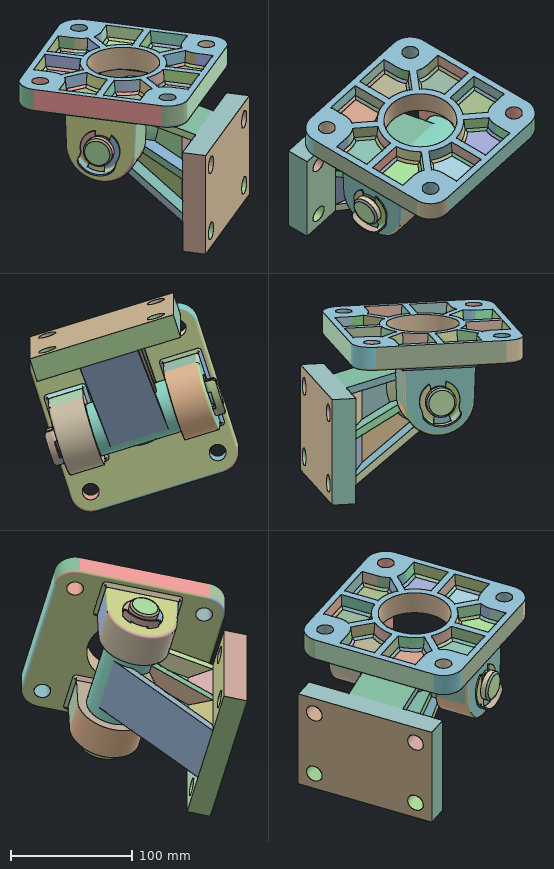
import cadquery as cq
import math


plate_side = 145.0
plate_top = 50.0
plate_thickness = 20.0
plate_bottom = plate_top - plate_thickness
corner_radius = 17.5
bolt_offset = plate_side / 2 - corner_radius
bolt_dia = 13.6
center_hole_dia = 60.1
plate_edge_round = 2.0

pocket_depth = 12.0
pocket_floor_bevel = 2.0
pocket_draft = 6.0
plate_rim = 5.8
plate_rib = 6.2
hub_radius = 35.8
boss_radius = 20.0
boss_shift = 2.6

lug_inner = 35.0
lug_outer = 65.0
lug_radius = 30.0
lug_root_half = 31.0
lug_edge_round = 2.0
flank_end = -4.4
collar_height = 3.1
collar_angle = 45.0

barrel_radius = 22.5
flange_front = 70.0
flange_thickness = 20.0
flange_width = 124.2
flange_top = 4.9
flange_height = 89.9
flange_bottom = flange_top - flange_height
flange_middle = flange_top - flange_height / 2
flange_bolt_dia = 14.5
flange_bolt_span_y = 94.0
flange_bolt_span_z = 60.0
arm_half = 25.0
arm_rib = 6.2
web_half = 8.1
web_cone_radius = 32.5
web_cone_height = web_cone_radius - barrel_radius
flare_length = 16.7

pin_radius = 12.5
pin_half_length = 73.8
pin_bevel = 1.6
groove_radius = 9.8
groove_outer = 67.5

clip_gauge = 1.22
clip_radius = 17.0
tab_radius = 20.2
tab_end = 74.3
tab_half = 15.6
tab_corner_bevel = 2.0
bend_radius = 3.0
clip_mouth_half = 6.3
clip_mouth_angle = 15.0
window_half = 6.2
window_angle = 12.0
front_clip_turn = 10.5
back_clip_turn = 6.5


def prism_y(points, y_start, y_end):
    """Polygon of (x, z) points, extruded along Y."""
    return cq.Workplane("XZ", origin=(0, y_start, 0)).polyline(points).close().extrude(y_start - y_end)


def cylinder_y(radius, y_start, y_end):
    return cq.Workplane("XZ", origin=(0, y_start, 0)).circle(radius).extrude(y_start - y_end)


def pocket_cutter():
    """Pocket on the +X, +Y side of the plate, next to the X axis."""
    outer = plate_side / 2 - plate_rim
    near = plate_rib / 2
    boss_x = bolt_offset - boss_shift
    boss_y = bolt_offset
    far = boss_y - boss_radius
    diagonal = plate_rib / math.sqrt(2)

    def on_boss(angle):
        return (boss_x + boss_radius * math.cos(angle), boss_y + boss_radius * math.sin(angle))

    flank_distance = (boss_y + diagonal - boss_x) / math.sqrt(2)
    boss_end_angle = -math.pi / 4 - math.acos(flank_distance / boss_radius)
    boss_end = on_boss(boss_end_angle)
    boss_mid = on_boss((boss_end_angle - math.pi / 2) / 2)
    hub_flank_angle = math.pi / 4 - math.asin(plate_rib / 2 / hub_radius)
    hub_near_angle = math.asin(near / hub_radius)
    hub_mid_angle = (hub_flank_angle + hub_near_angle) / 2

    def on_hub(angle):
        return (hub_radius * math.cos(angle), hub_radius * math.sin(angle))

    return (
        cq.Workplane("XY", origin=(0, 0, plate_top))
        .moveTo(outer, near)
        .lineTo(outer, far)
        .lineTo(boss_x, far)
        .threePointArc(boss_mid, boss_end)
        .lineTo(*on_hub(hub_flank_angle))
        .threePointArc(on_hub(hub_mid_angle), on_hub(hub_near_angle))
        .close()
        .extrude(-pocket_depth, taper=pocket_draft)
        .faces("<Z")
        .chamfer(pocket_floor_bevel)
    )


def lug():
    """Lug on the +Y side, with its collar under the plate."""
    flank_x = math.sqrt(lug_radius**2 - flank_end**2)
    body = (
        cq.Workplane("XZ", origin=(0, lug_inner, 0))
        .moveTo(lug_root_half, plate_bottom)
        .lineTo(flank_x, flank_end)
        .threePointArc((0, -lug_radius), (-flank_x, flank_end))
        .lineTo(-lug_root_half, plate_bottom)
        .close()
        .extrude(lug_inner - lug_outer)
        .faces(">Y")
        .edges("not(>Z)")
        .fillet(lug_edge_round)
    )
    collar = (
        cq.Workplane("XY", origin=(0, (lug_inner + lug_outer) / 2, plate_bottom - collar_height))
        .rect(2 * lug_root_half, lug_outer - lug_inner)
        .extrude(collar_height, taper=-collar_angle)
    )
    return body.union(collar)


def make_platform():
    plate = (
        cq.Workplane("XY", origin=(0, 0, plate_bottom))
        .rect(plate_side, plate_side)
        .extrude(plate_thickness)
        .edges("|Z")
        .fillet(corner_radius)
        .faces("<Z")
        .edges()
        .fillet(plate_edge_round)
    )
    plate = plate.union(lug()).union(lug().mirror("XZ"))
    plate = plate.cut(
        cq.Workplane("XY", origin=(0, 0, plate_bottom))
        .circle(center_hole_dia / 2)
        .extrude(plate_thickness)
    )
    plate = plate.cut(
        cq.Workplane("XY", origin=(0, 0, plate_bottom))
        .rect(2 * bolt_offset, 2 * bolt_offset, forConstruction=True)
        .vertices()
        .circle(bolt_dia / 2)
        .extrude(plate_thickness)
    )
    pocket = pocket_cutter()
    for cutter in (pocket, pocket.mirror("XZ")):
        for quarter in range(4):
            plate = plate.cut(cutter.rotate((0, 0, 0), (0, 0, 1), 90 * quarter))
    return plate.cut(cylinder_y(pin_radius, -lug_outer, lug_outer))


def tangent_angle(z, side):
    """Direction of the barrel radius that touches the arm edge ending at the flange at height z."""
    distance = math.hypot(flange_front, z)
    return math.atan2(z, flange_front) + side * math.acos(barrel_radius / distance)


def arm_gaps(touch_top, touch_bottom):
    """Two gaps between the arm's three ribs, as (x, z) outlines."""
    middle_slope = flange_middle / flange_front
    middle_rise = arm_rib / 2 * math.hypot(1, middle_slope)
    gaps = []
    for angle, side in ((touch_top, 1), (touch_bottom, -1)):
        inner = barrel_radius - arm_rib

        def rib_edge(x):
            return (x, (inner - x * math.cos(angle)) / math.sin(angle))

        def middle_edge(x):
            return (x, middle_slope * x + side * middle_rise)

        gaps.append([rib_edge(0), rib_edge(flange_front), middle_edge(flange_front), middle_edge(0)])
    return gaps


def make_bracket():
    touch_top = tangent_angle(flange_top, 1)
    touch_bottom = tangent_angle(flange_bottom, -1)
    outline = [
        (0, 0),
        (barrel_radius * math.cos(touch_top), barrel_radius * math.sin(touch_top)),
        (flange_front, flange_top),
        (flange_front, flange_bottom),
        (barrel_radius * math.cos(touch_bottom), barrel_radius * math.sin(touch_bottom)),
    ]
    arm = prism_y(outline, -arm_half, arm_half)

    cone = cq.Workplane(
        cq.Solid.makeCone(
            web_cone_radius,
            barrel_radius,
            web_cone_height,
            pnt=cq.Vector(0, web_half, 0),
            dir=cq.Vector(0, 1, 0),
        )
    )
    flare = (
        cq.Workplane("XY", origin=(0, 0, flange_bottom))
        .polyline([(flange_front - flare_length, web_half), (flange_front, web_half), (flange_front, arm_half)])
        .close()
        .extrude(flange_height)
    )
    for gap in arm_gaps(touch_top, touch_bottom):
        cutter = prism_y(gap, web_half, arm_half).cut(cone).cut(flare)
        arm = arm.cut(cutter).cut(cutter.mirror("XZ"))

    flange = (
        cq.Workplane("YZ", origin=(flange_front, 0, flange_middle))
        .rect(flange_width, flange_height)
        .extrude(flange_thickness)
        .faces(">X")
        .workplane()
        .rect(flange_bolt_span_y, flange_bolt_span_z, forConstruction=True)
        .vertices()
        .hole(flange_bolt_dia)
    )
    barrel = cylinder_y(barrel_radius, -lug_inner, lug_inner)
    return arm.union(barrel).union(flange).cut(cylinder_y(pin_radius, -lug_inner, lug_inner))


def make_pin():
    pin = cylinder_y(pin_radius, -pin_half_length, pin_half_length).faces("<Y or >Y").chamfer(pin_bevel)
    groove = cylinder_y(pin_radius, lug_outer, groove_outer).cut(
        cylinder_y(groove_radius, lug_outer, groove_outer)
    )
    return pin.cut(groove).cut(groove.mirror("XZ"))


def flared_notch(half_width, flank_angle, side, y_end):
    """Cutter from the pin axis up (side 1) or down (side -1), flaring outside the pin radius."""
    flare = (tab_radius - pin_radius) * math.tan(math.radians(flank_angle))
    half_outline = [
        (half_width, 0),
        (half_width, side * pin_radius),
        (half_width + flare, side * tab_radius),
    ]
    mirrored = [(-x, z) for x, z in reversed(half_outline)]
    return prism_y(half_outline + mirrored, -lug_outer, y_end)


def make_clip(turn):
    """Clip against the -Y lug: open ring with a tab bent outward opposite its mouth."""
    ring_face = -(lug_outer + clip_gauge)
    ring = cylinder_y(clip_radius, -lug_outer, ring_face)

    bend_x = tab_radius - bend_radius
    bend_y = -(lug_outer + bend_radius)
    inner_bend_radius = bend_radius - clip_gauge
    arc_mid = math.sqrt(0.5)

    def bend_point(radius):
        return (bend_x + radius * arc_mid, bend_y + radius * arc_mid)

    tab = (
        cq.Workplane("XY")
        .moveTo(groove_radius, -lug_outer)
        .lineTo(bend_x, -lug_outer)
        .threePointArc(bend_point(bend_radius), (tab_radius, bend_y))
        .lineTo(tab_radius, -tab_end)
        .lineTo(tab_radius - clip_gauge, -tab_end)
        .lineTo(tab_radius - clip_gauge, bend_y)
        .threePointArc(bend_point(inner_bend_radius), (bend_x, ring_face))
        .lineTo(groove_radius, ring_face)
        .close()
        .revolve(180, (0, 0, 0), (0, 1, 0))
    )
    tab_blank = (
        cq.Workplane("XZ", origin=(0, -lug_outer, 0))
        .rect(2 * tab_half, 2 * tab_radius)
        .extrude(tab_end - lug_outer)
        .edges("<Y and |Z")
        .chamfer(tab_corner_bevel)
    )
    tab = tab.intersect(tab_blank)

    mouth = flared_notch(clip_mouth_half, clip_mouth_angle, 1, ring_face)
    window = flared_notch(window_half, window_angle, -1, bend_y)
    clip = ring.union(tab).cut(mouth).cut(window).cut(cylinder_y(groove_radius, -lug_outer, ring_face))
    return clip.rotate((0, 0, 0), (0, 1, 0), turn)


platform = make_platform()
bracket = make_bracket()
pin = make_pin()
clips = [make_clip(front_clip_turn), make_clip(back_clip_turn).mirror("XZ")]

result = cq.Compound.makeCompound(
    [platform.val(), bracket.val(), pin.val(), *[clip.val() for clip in clips]]
)